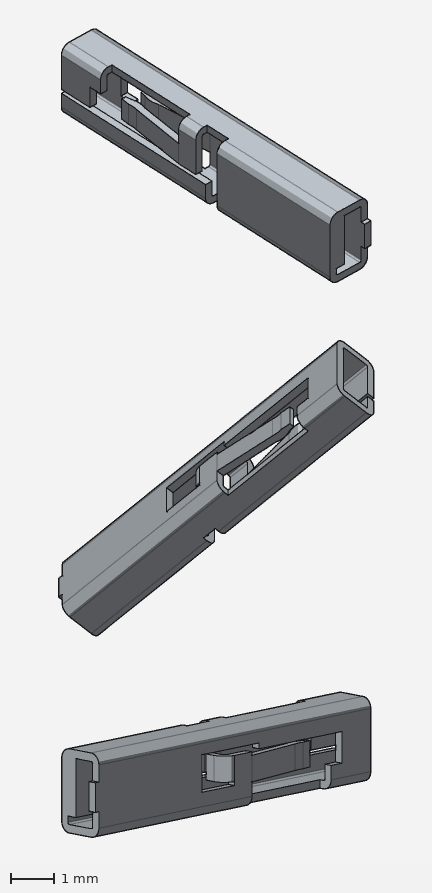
import cadquery as cq

total_length = 9.27
tube_length = 9.15
depth = 1.2
height = 2.0
wall = 0.2
corner_radius = 0.25
inner_radius = corner_radius - wall

tab_bottom = 0.64
tab_top = 1.34

strip_top = 0.65
strip_end = 4.91
slit_top = 0.76
corner_cut_depth = 0.36
low_window_start = 0.97
window_start = 1.335
bridge_start = 4.0
bridge_end = 4.58
body_start = 5.3

flap_inner = 0.45
flap_bottom = 0.4

arm_tip = 1.81
arm_top = 1.34
back_arm_bottom = 0.59
back_arm_top = 1.22
tip_outer = 0.23
tip_inner = 0.35
crest_end_x = 1.98
crest_end_inner = 0.38
neck_x = 2.08
neck_outer = 0.2
neck_sag_x = 2.21
neck_sag_outer = 0.21
bend_x = 2.345
bend_outer = 0.195
bend_inner = 0.38
inner_bend_x = 2.43
crest_x = 2.13
crest_inner = 0.42

back_bridge_top = 1.31
back_slot_start = 3.76
back_window_end = 5.67
back_window_top = 1.48
stop_bottom = 0.69
stop_inner = 0.59
stop_bend_radius = 0.15


def box(x0, x1, y0, y1, z0, z1):
    """Block between two limits on each axis."""
    return cq.Workplane("XY").box(x1 - x0, y1 - y0, z1 - z0, centered=False).translate((x0, y0, z0))


def spring_arm(bottom, top):
    """Arm springing inward from the front wall, bent at its free end."""
    return (
        cq.Workplane("XY").workplane(offset=bottom)
        .moveTo(bridge_end, 0)
        .lineTo(bridge_start, 0)
        .lineTo(bend_x, bend_outer)
        .threePointArc((neck_sag_x, neck_sag_outer), (neck_x, neck_outer))
        .lineTo(arm_tip, tip_outer)
        .lineTo(arm_tip, tip_inner)
        .lineTo(crest_end_x, crest_end_inner)
        .threePointArc((crest_x, crest_inner), (inner_bend_x, bend_inner))
        .lineTo(bridge_start, wall)
        .lineTo(bridge_end, wall)
        .close()
        .extrude(top - bottom)
    )


def tube():
    outer = box(0, tube_length, 0, depth, 0, height).edges("|X").fillet(corner_radius)
    bore = box(0, tube_length, wall, depth - wall, wall, height - wall).edges("|X").fillet(inner_radius)
    return outer.cut(bore)


def cut_front(body):
    """Slit, latch window and the gap that separates the strip from the main body."""
    y = corner_cut_depth
    body = body.cut(box(0, bridge_end, 0, wall, strip_top, slit_top))
    body = body.cut(box(low_window_start, bridge_start, 0, wall, strip_top, arm_top))
    body = body.cut(box(window_start, bridge_start, 0, y, strip_top, height))
    body = body.cut(box(bridge_end, body_start, 0, y, strip_top, height))
    return body.cut(box(strip_end, body_start, 0, y, 0, height))


def cut_back(body):
    """Arm window open through the bottom corner, stop window and the slot over the bridge between them."""
    y0 = depth - wall
    body = body.cut(box(low_window_start, bridge_start, y0, depth, back_arm_bottom, arm_top))
    body = body.cut(box(window_start, bridge_start, depth - corner_cut_depth, depth, 0, arm_top))
    body = body.cut(box(back_slot_start, back_window_end, y0, depth, back_bridge_top, back_window_top))
    return body.cut(box(bridge_end, back_window_end, y0, depth, back_arm_bottom, back_window_top))


def back_stop():
    """Tab continuing from the back bridge and bent square into the tube."""
    inner_x = strip_end - wall
    inner_y = depth - wall
    outer_radius = stop_bend_radius + wall
    return (
        cq.Workplane("XY").workplane(offset=stop_bottom)
        .moveTo(bridge_start, depth)
        .lineTo(strip_end - outer_radius, depth)
        .radiusArc((strip_end, depth - outer_radius), outer_radius)
        .lineTo(strip_end, stop_inner)
        .lineTo(inner_x, stop_inner)
        .lineTo(inner_x, inner_y - stop_bend_radius)
        .radiusArc((inner_x - stop_bend_radius, inner_y), -stop_bend_radius)
        .lineTo(bridge_start, inner_y)
        .close()
        .extrude(back_bridge_top - stop_bottom)
    )


def back_arm():
    """Mirror image of the front arm, set lower on the back wall."""
    return spring_arm(back_arm_bottom, back_arm_top).mirror("XZ").translate((0, depth, 0))


body = cut_back(cut_front(tube()))
flap = box(body_start, tube_length, wall, flap_inner, flap_bottom, height - wall)
end_tab = box(tube_length - wall, total_length, depth - wall, depth, tab_bottom, tab_top)
front_arm = spring_arm(slit_top, arm_top)

result = body.union(flap).union(end_tab).union(front_arm).union(back_arm()).union(back_stop()).clean()